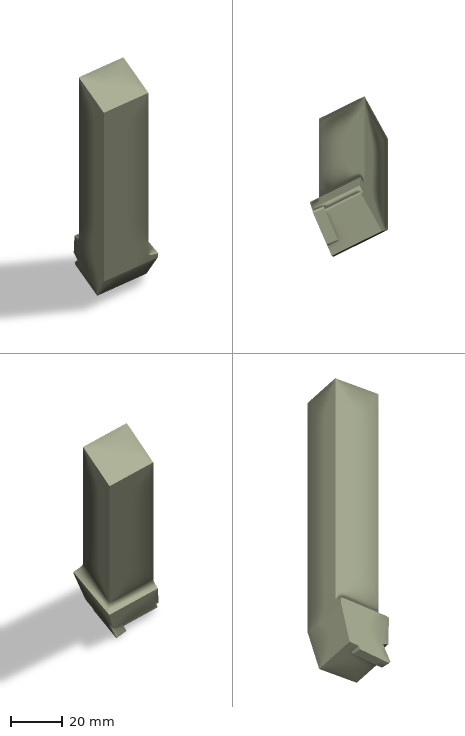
import cadquery as cq
import math

SHANK = 20.0
TOP = 126.4

SHOULDER_Z = 20.7
SHOULDER_ANGLE = 15.0
SHOULDER_RADIUS = 1.9
HEAD_TOP_OVERHANG = 3.4
HEAD_OVERHANG = 4.0
HEAD_LOW_Z = 8.2
NOTCH = (-0.9, 6.8)
NOSE = (-3.3, 2.7)
NOSE_FOOT_X = -2.8
BASE_Z = 1.6
BASE_RIGHT_X = 14.7
RELIEF_Z = 16.9

RAKE_BACK_Y = 24.4
RAKE_X_ANGLE = 5.3
RAKE_Z_ANGLE = 5.8

INSERT_ANGLE = 55.0
INSERT_SIDE = 15.5
INSERT_THICKNESS = 4.8
INSERT_RADIUS = 0.8
INSERT_CLEARANCE = 1.5
INSERT_REACH = 5.4

STOCK = 31.6
shoulder_fall = math.tan(math.radians(SHOULDER_ANGLE))
rake_x_slope = math.tan(math.radians(RAKE_X_ANGLE))
rake_z_slope = math.tan(math.radians(RAKE_Z_ANGLE))
rake_normal = cq.Vector(-rake_x_slope, 1, -rake_z_slope)


def shoulder_height(overhang):
    """Height of the shoulder at a distance outside the shank."""
    return SHOULDER_Z - overhang * shoulder_fall


def rake_y(x, z):
    """Y of the rake face at a given X and Z."""
    back_z = shoulder_height(RAKE_BACK_Y - SHANK)
    return RAKE_BACK_Y + rake_x_slope * (x - SHANK) + rake_z_slope * (z - back_z)


def rake_plane(x, z):
    """Plane in the rake face; its X runs level and its Y runs downward."""
    return cq.Plane(
        origin=(x, rake_y(x, z), z),
        xDir=(1, rake_x_slope, 0),
        normal=rake_normal.toTuple(),
    )


def round_shoulder(blank, shank_x, shank_y):
    """Fillet the inner shoulder edge passing through the given shank side."""
    edge = cq.selectors.NearestToPointSelector((shank_x, shank_y, SHOULDER_Z))
    return blank.edges(edge).fillet(SHOULDER_RADIUS)


def side_profile():
    """Shank and head outline in XZ, extruded along Y."""
    blank = (
        cq.Workplane("XZ")
        .moveTo(SHANK, TOP)
        .lineTo(0, TOP)
        .lineTo(0, SHOULDER_Z)
        .lineTo(-HEAD_TOP_OVERHANG, shoulder_height(HEAD_TOP_OVERHANG))
        .lineTo(-HEAD_OVERHANG, HEAD_LOW_Z)
        .lineTo(*NOTCH)
        .lineTo(*NOSE)
        .lineTo(NOSE_FOOT_X, BASE_Z)
        .lineTo(BASE_RIGHT_X, BASE_Z)
        .lineTo(SHANK, RELIEF_Z)
        .close()
        .extrude(-STOCK)
    )
    return round_shoulder(blank, 0, STOCK / 2)


def back_profile():
    """Shank and back shoulder outline in YZ, extruded along X."""
    blank = (
        cq.Workplane("YZ", origin=(SHANK - STOCK, 0, 0))
        .moveTo(0, 0)
        .lineTo(0, TOP)
        .lineTo(SHANK, TOP)
        .lineTo(SHANK, SHOULDER_Z)
        .lineTo(STOCK, shoulder_height(STOCK - SHANK))
        .lineTo(STOCK, 0)
        .close()
        .extrude(STOCK)
    )
    return round_shoulder(blank, SHANK - STOCK / 2, SHANK)


def behind_rake_face():
    """Block of waste behind the rake face, limited to the head."""
    side = 2 * STOCK
    return cq.Workplane(rake_plane(SHANK / 2, 0)).rect(side, side).extrude(STOCK)


def make_insert():
    """Rhombic insert with rounded corners, flush with the rake face."""
    angle = math.radians(INSERT_ANGLE)
    lean = INSERT_SIDE * math.cos(angle)
    rise = INSERT_SIDE * math.sin(angle)
    clearance = math.radians(INSERT_CLEARANCE)
    center_distance = INSERT_RADIUS / math.sin(angle / 2)
    tip_drop = INSERT_RADIUS - center_distance * math.sin(angle / 2 + clearance)
    tip_loss = center_distance * math.cos(angle / 2 + clearance) - INSERT_RADIUS
    seat = rake_plane(-INSERT_REACH - tip_loss, tip_drop).rotated((0, 0, -INSERT_CLEARANCE))
    return (
        cq.Workplane(seat)
        .polyline([(0, 0), (INSERT_SIDE, 0), (INSERT_SIDE + lean, -rise), (lean, -rise)])
        .close()
        .extrude(-INSERT_THICKNESS)
        .edges(cq.selectors.ParallelDirSelector(rake_normal))
        .fillet(INSERT_RADIUS)
    )


def make_holder(insert):
    """Tool holder with a pocket that matches the insert."""
    body = side_profile().intersect(back_profile()).cut(behind_rake_face())
    return body.cut(insert)


insert = make_insert()
holder = make_holder(insert)

result = cq.Compound.makeCompound([holder.solids().val(), insert.solids().val()])